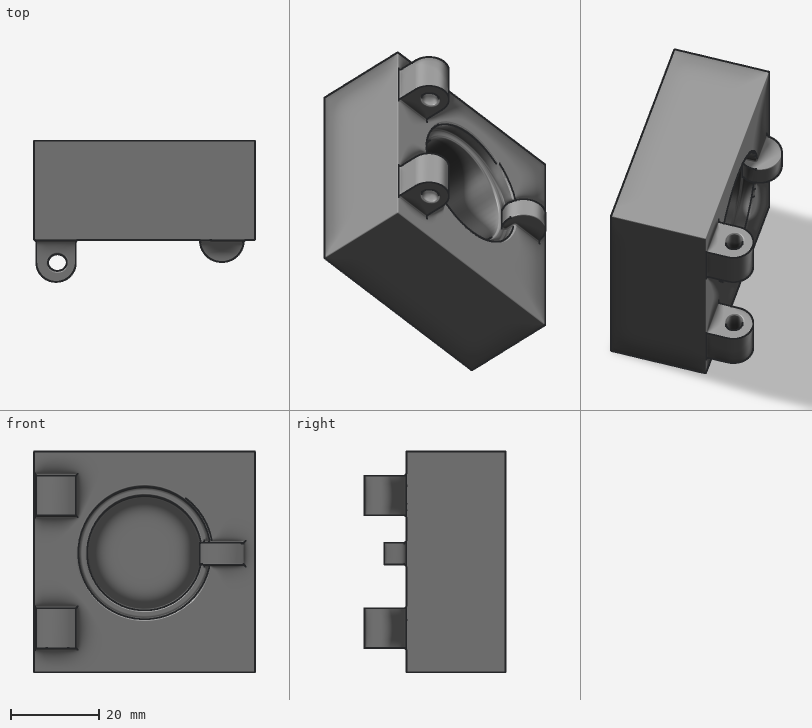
import cadquery as cq

SIDE = 50
DEPTH = 22.5
OUTER_ROUND = 0.25
FLAT_EDGE = SIDE / 2 - OUTER_ROUND

PLANE_TOLERANCE = 0.05

SMALL_ROUND = 0.5

BORE_Z = 2
COUNTERBORE_RADIUS = 15
COUNTERBORE_DEPTH = 3.05
BORE_RADIUS = 13
BACK_WALL = 5

LUG_WIDTH = 9
LUG_RADIUS = LUG_WIDTH / 2
LUG_AXIS_Y = -5
LUG_X = -SIDE / 2 + SMALL_ROUND + LUG_RADIUS
LUG_Z = 15
PIN_HALF_WIDTH = 2.1
PIN_HALF_HEIGHT = 1.85
PIN_X = -19.7
PIN_Y = -5.1

CATCH_RADIUS = 5
CATCH_THICKNESS = 5
CATCH_X = 17.5
CATCH_Z = 1.85
CATCH_ROUND = 0.25


def cylinder_into_block(radius, depth):
    """Cylinder on the bore axis, from the front face to a depth, with a rounded far rim."""
    cylinder = cq.Workplane("XZ", origin=(0, 0, BORE_Z)).circle(radius).extrude(-depth)
    return cylinder.faces(">Y").edges().fillet(SMALL_ROUND)


def make_block():
    block = cq.Workplane("XY").box(SIDE, DEPTH, SIDE, centered=(True, False, True))
    block = block.edges().fillet(OUTER_ROUND)
    block = block.cut(cylinder_into_block(COUNTERBORE_RADIUS, COUNTERBORE_DEPTH))
    block = block.cut(cylinder_into_block(BORE_RADIUS, DEPTH - BACK_WALL))
    step_zone = cq.selectors.BoxSelector(
        (-BORE_RADIUS, COUNTERBORE_DEPTH - PLANE_TOLERANCE, -BORE_RADIUS),
        (BORE_RADIUS, COUNTERBORE_DEPTH + PLANE_TOLERANCE, BORE_RADIUS),
    )
    bore_mouth = block.edges("%CIRCLE").edges(step_zone).edges(cq.selectors.RadiusNthSelector(0))
    return bore_mouth.fillet(SMALL_ROUND)


def make_catch_disc():
    bottom = (CATCH_X, 0, CATCH_Z - CATCH_THICKNESS / 2)
    return cq.Workplane("XY", origin=bottom).circle(CATCH_RADIUS).extrude(CATCH_THICKNESS)


def catch_rim_waste():
    """Material removed to round both rims of the catch, in front of its root."""
    disc = make_catch_disc()
    waste = disc.cut(disc.edges("%CIRCLE").fillet(CATCH_ROUND))
    front = cq.Workplane("XY").box(SIDE, SIDE, SIDE).translate((CATCH_X, -SIDE / 2 - SMALL_ROUND, 0))
    return waste.intersect(front)


def round_front_roots(body):
    """Round the counterbore mouth and the roots of the catch on the face and counterbore wall."""
    reach = SIDE / 2 - SMALL_ROUND
    root_zone = cq.selectors.BoxSelector(
        (-reach, -PLANE_TOLERANCE, -reach),
        (reach, COUNTERBORE_DEPTH / 2, reach),
    )
    return body.edges(root_zone).fillet(SMALL_ROUND)


def make_lug():
    """Lug at Z = 0 with a flared root, trimmed where the flat of the front face ends."""
    base = cq.Workplane("XY").box(SIDE, DEPTH, SIDE, centered=(True, False, True))
    base = base.translate((LUG_X, 0, 0))
    lug = (
        cq.Workplane("XY", origin=(LUG_X, 0, -LUG_WIDTH / 2))
        .moveTo(-LUG_RADIUS, SMALL_ROUND)
        .lineTo(-LUG_RADIUS, LUG_AXIS_Y)
        .threePointArc((0, LUG_AXIS_Y - LUG_RADIUS), (LUG_RADIUS, LUG_AXIS_Y))
        .lineTo(LUG_RADIUS, SMALL_ROUND)
        .close()
        .extrude(LUG_WIDTH)
    )
    pin_hole = (
        cq.Workplane("XY", origin=(PIN_X, PIN_Y, -LUG_WIDTH / 2))
        .ellipse(PIN_HALF_WIDTH, PIN_HALF_HEIGHT)
        .extrude(LUG_WIDTH)
    )
    lug = lug.cut(pin_hole).edges("%ELLIPSE").fillet(SMALL_ROUND)
    root_zone = cq.selectors.BoxSelector(
        (-SIDE / 2, -PLANE_TOLERANCE, -LUG_WIDTH),
        (0, PLANE_TOLERANCE, LUG_WIDTH),
    )
    flared = base.union(lug).edges(root_zone).fillet(SMALL_ROUND)
    keep = cq.Workplane("XY").box(SIDE, SIDE, SIDE, centered=(False, False, True))
    return flared.intersect(keep.translate((-FLAT_EDGE, -SIDE, 0)))


result = round_front_roots(make_block().union(make_catch_disc()))
result = result.cut(catch_rim_waste())
lug = make_lug()
for z in (-LUG_Z, LUG_Z):
    result = result.union(lug.translate((0, 0, z)))